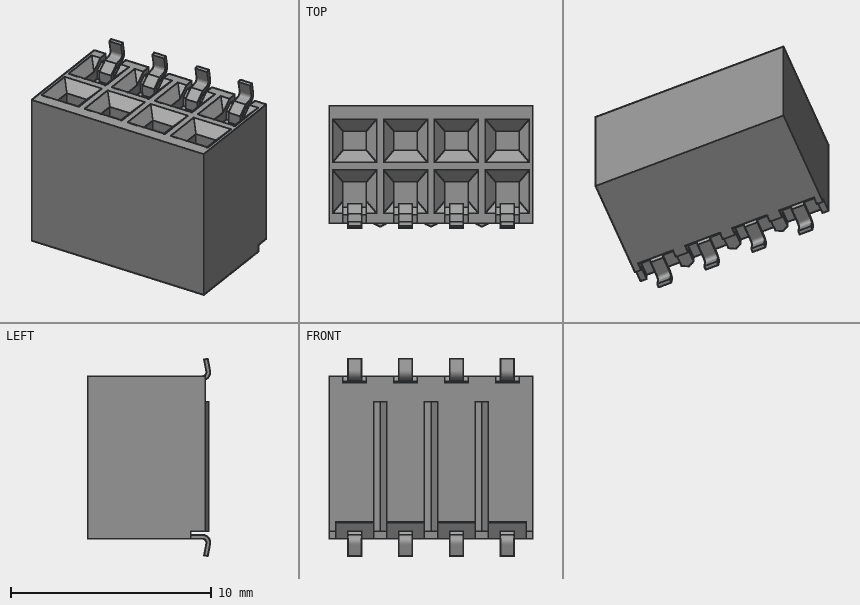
import cadquery as cq
import math

pitch = 2.54
columns = 4
length = columns * pitch
depth = 5.88
height = 8.12

front_row_y = 1.59
mouth_x, mouth_y = 2.2, 2.16
pocket_x, pocket_y = 1.18, 0.96
funnel_depth = 0.5
pocket_depth = 1.05

lip_depth = 0.33
ridge_y, ridge_depth = 0.44, 0.26
ramp_foot_y = 0.81
ramp_slope = funnel_depth / ((mouth_y - pocket_y) / 2)
ramp_foot_depth = ridge_depth + ramp_slope * (ramp_foot_y - ridge_y)

rib_width = 0.66
rib_depth = 0.17
rib_top_gap = 1.27

step_y, step_z = 0.73, 0.375
slot_z = 0.86
slope_top_z = 0.79
slope_end_y = 1.13

pin_width = 0.69
pin_thickness = 0.2
bend_radius = 0.4
inner_radius = bend_radius - pin_thickness
pin_reach = 0.24
pin_drop = 0.87
leg_tilt = math.radians(11)
bend_y = bend_radius - pin_reach
bend_z = pin_thickness - bend_radius
upper_shelf_y = 0.48
upper_tail_y = 0.99
lower_climb_y = 0.83
lower_climb_angle = math.radians(57)
lower_climb_length = 0.5

column_xs = [(i - (columns - 1) / 2) * pitch for i in range(columns)]
rib_xs = [(i - (columns - 2) / 2) * pitch for i in range(columns - 1)]


def extrude_along_x(profile, x_center, width):
    """Turn a closed (Y, Z) profile into a prism centred on x_center."""
    return profile.extrude(width / 2, both=True).translate((x_center, 0, 0))


def yz_polygon(points):
    return cq.Workplane("YZ").polyline(points).close()


def block(x_center, width, y0, y1, z0, z1):
    shape = cq.Workplane("XY").box(width, y1 - y0, z1 - z0, centered=(True, False, False))
    return shape.translate((x_center, y0, z0))


def contact_opening(x, y):
    """Tapered mouth above a straight rectangular pocket."""
    funnel = (
        cq.Workplane("XY", origin=(x, y, height))
        .rect(mouth_x, mouth_y)
        .workplane(offset=-funnel_depth)
        .rect(pocket_x, pocket_y)
        .loft(ruled=True)
    )
    pocket = block(x, pocket_x, y - pocket_y / 2, y + pocket_y / 2, height - pocket_depth, height)
    return funnel.union(pocket)


def front_notch(x):
    """Opening through the front wall that clears the upper pin."""
    profile = yz_polygon([
        (0, height),
        (0, height - lip_depth),
        (ridge_y, height - ridge_depth),
        (ramp_foot_y, height - ramp_foot_depth),
        (ramp_foot_y, height - pocket_depth),
        (front_row_y, height - pocket_depth),
        (front_row_y, height),
    ])
    return extrude_along_x(profile, x, pocket_x)


def rib(x):
    """Triangular rib, from the step level up."""
    half = rib_width / 2
    return (
        cq.Workplane("XY", origin=(x, 0, step_z))
        .polyline([(-half, 0), (0, -rib_depth), (half, 0)])
        .close()
        .extrude(height - rib_top_gap - step_z)
    )


def pin_slot(x):
    """Slot under the front wall with a back slope running down to the bottom."""
    profile = yz_polygon([
        (0, 0),
        (0, slot_z),
        (step_y, slot_z),
        (step_y, slope_top_z),
        (slope_end_y, 0),
    ])
    return extrude_along_x(profile, x, pitch - rib_width)


def on_bend(radius, angle):
    """(Y, Z) point on the bend of a lower pin; angle 0 is where the strip is level."""
    return (bend_y - radius * math.sin(angle), bend_z + radius * math.cos(angle))


def strip_height(radius, strip_tilt, y):
    """Height at y of the straight strip surface that leaves the bend at this radius."""
    start_y, start_z = on_bend(radius, strip_tilt)
    return start_z + (y - start_y) * math.tan(strip_tilt)


def bent_leg(inner_y, strip_tilt):
    """(Y, Z) profile: strip on the housing bottom that bends down into a tilted leg."""
    end_angle = math.pi / 2 + leg_tilt
    middle_angle = (strip_tilt + end_angle) / 2
    outer_end = on_bend(bend_radius, end_angle)
    inner_end = on_bend(inner_radius, end_angle)
    leg_length = (outer_end[1] + pin_drop) / math.cos(leg_tilt)
    leg_y = leg_length * math.sin(leg_tilt)
    leg_z = -leg_length * math.cos(leg_tilt)
    return (
        cq.Workplane("YZ")
        .moveTo(inner_y, strip_height(bend_radius, strip_tilt, inner_y))
        .lineTo(*on_bend(bend_radius, strip_tilt))
        .threePointArc(on_bend(bend_radius, middle_angle), outer_end)
        .lineTo(outer_end[0] + leg_y, outer_end[1] + leg_z)
        .lineTo(inner_end[0] + leg_y, inner_end[1] + leg_z)
        .lineTo(*inner_end)
        .threePointArc(on_bend(inner_radius, middle_angle), on_bend(inner_radius, strip_tilt))
        .lineTo(inner_y, strip_height(inner_radius, strip_tilt, inner_y))
        .close()
    )


def lower_pin(x):
    """Leg whose inner end climbs into the housing."""
    lower_y = lower_climb_y + pin_thickness * math.tan(lower_climb_angle / 2)
    run = lower_climb_length * math.cos(lower_climb_angle)
    rise = lower_climb_length * math.sin(lower_climb_angle)
    climb = yz_polygon([
        (lower_climb_y, 0),
        (lower_climb_y, pin_thickness),
        (lower_climb_y + run, pin_thickness + rise),
        (lower_y + run, rise),
        (lower_y, 0),
    ])
    leg = extrude_along_x(bent_leg(lower_climb_y, 0), x, pin_width)
    return leg.union(extrude_along_x(climb, x, pin_width))


def upper_pin(x):
    """Leg pointing up, with its inner end running down the ramp to the pocket floor."""
    def underside(y):
        return height - strip_height(bend_radius, leg_tilt, y)

    def top(y):
        return height - strip_height(inner_radius, leg_tilt, y)

    floor = height - pocket_depth
    tail_front_y = upper_tail_y - pin_thickness
    tail = yz_polygon([
        (ridge_y, underside(ridge_y)),
        (ridge_y, top(ridge_y)),
        (upper_shelf_y, top(upper_shelf_y)),
        (upper_tail_y, top(upper_shelf_y) - ramp_slope * (upper_tail_y - upper_shelf_y)),
        (upper_tail_y, floor),
        (tail_front_y, floor),
        (tail_front_y, underside(ridge_y) - ramp_slope * (tail_front_y - ridge_y)),
    ])
    leg = extrude_along_x(bent_leg(ridge_y, leg_tilt), x, pin_width)
    leg = leg.mirror("XY").translate((0, 0, height))
    return leg.union(extrude_along_x(tail, x, pin_width))


result = block(0, length, 0, depth, 0, height)
result = result.cut(block(0, length, 0, step_y, 0, step_z))
for x in rib_xs:
    result = result.union(rib(x))
for x in column_xs:
    result = result.cut(contact_opening(x, front_row_y))
    result = result.cut(contact_opening(x, front_row_y + pitch))
    result = result.cut(front_notch(x))
    result = result.cut(pin_slot(x))
for x in column_xs:
    result = result.union(lower_pin(x)).union(upper_pin(x))